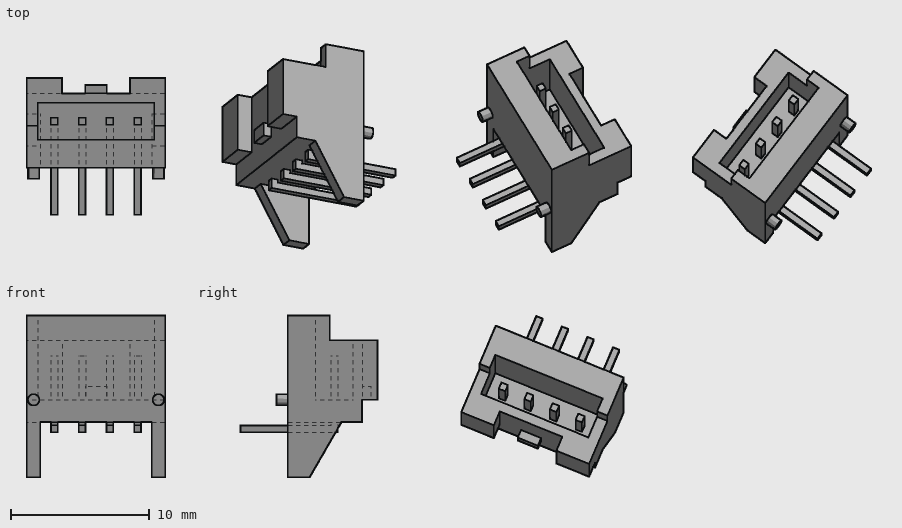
import cadquery as cq

width = 10.0
height = 11.7
depth = 6.49
front_wall_depth = 3.05
shoulder_z = 9.91
overhang_z = 5.6
base_depth = 5.38
floor_z = 3.99
leg_top_depth = 3.9
leg_foot_depth = 1.59
leg_width = 1.0

cavity_width = 8.39
cavity_front = 2.01
cavity_back = 4.7
cavity_floor_z = overhang_z

recess_width = 4.89
tab_width = 1.57
tab_reach = 0.61
tab_height = 1.0

pin_count = 4
pin_pitch = 2.0
pin_size = 0.5
pin_back = 3.63
pin_tip = 3.4
pin_bottom_z = 3.25
pin_top_z = 8.78

peg_diameter = 0.82
peg_length = 0.81
peg_spacing = 9.01
peg_z = overhang_z


def block(x_size, y_min, y_max, z_min, z_max, x_center=0):
    """Box centred on x_center and spanning the given Y and Z ranges."""
    return (
        cq.Workplane("XY")
        .box(x_size, y_max - y_min, z_max - z_min, centered=(True, False, False))
        .translate((x_center, y_min, z_min))
    )


def make_housing():
    """Side profile extruded across the width, then opened up."""
    side_profile = [
        (0, 0),
        (leg_foot_depth, 0),
        (leg_top_depth, floor_z),
        (base_depth, floor_z),
        (base_depth, overhang_z),
        (depth, overhang_z),
        (depth, shoulder_z),
        (front_wall_depth, shoulder_z),
        (front_wall_depth, height),
        (0, height),
    ]
    body = cq.Workplane("YZ").polyline(side_profile).close().extrude(width / 2, both=True)
    leg_gap = block(width - 2 * leg_width, 0, depth, 0, floor_z)
    cavity = block(cavity_width, cavity_front, cavity_back, cavity_floor_z, height)
    recess = block(recess_width, base_depth, depth, overhang_z, shoulder_z)
    return body.cut(leg_gap).cut(cavity).cut(recess)


def make_tab():
    """Latch tab projecting from the wall of the rear recess."""
    return block(tab_width, base_depth, base_depth + tab_reach, overhang_z, overhang_z + tab_height)


def make_pin(x):
    """Right-angle pin: upright contact and a tail toward the front."""
    upright = block(pin_size, pin_back - pin_size, pin_back, pin_bottom_z, pin_top_z, x)
    tail = block(pin_size, -pin_tip, pin_back, pin_bottom_z, pin_bottom_z + pin_size, x)
    return upright.union(tail)


def make_peg(x):
    """Round locating peg on the mounting face."""
    return (
        cq.Workplane("XZ")
        .center(x, peg_z)
        .circle(peg_diameter / 2)
        .extrude(peg_length)
    )


result = make_housing().union(make_tab())
for index in range(pin_count):
    result = result.union(make_pin((index - (pin_count - 1) / 2) * pin_pitch))
for side in (-1, 1):
    result = result.union(make_peg(side * peg_spacing / 2))